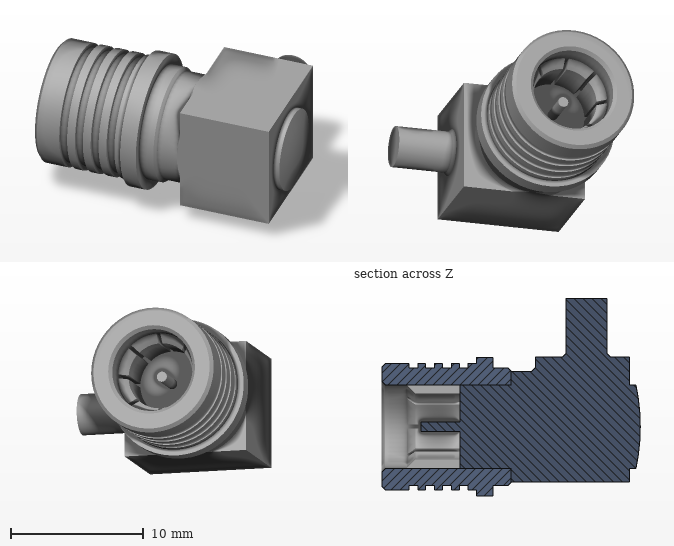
import cadquery as cq
import math


SLEEVE_LENGTH = 9.75
SLEEVE_RADIUS = 4.45
RIB_RADIUS = 4.8
FLANGE_RADIUS = 5.25
FRONT_BAND_LENGTH = 2.05
RIB_PITCH = 1.27
RIB_WIDTH = RIB_PITCH / 2
FLANGE_WIDTH = RIB_PITCH
GROOVE_COUNT = 4
BORE_RADIUS = 3.15
EDGE_CHAMFER = 0.25

FINGER_TIP_X = 1.9
FINGER_INNER_RADIUS = 2.5
SOCKET_FLOOR_X = 5.85
SLOT_WIDTH = 0.3
SLOT_COUNT = 8
PIN_RADIUS = 0.39
PIN_TIP_X = 2.93

NECK_RADIUS = 4.2
SHOULDER_CHAMFER = SLEEVE_RADIUS - NECK_RADIUS

BLOCK_FRONT_X = 11.55
BLOCK_BACK_X = 18.71
BLOCK_HALF_HEIGHT = NECK_RADIUS
BLOCK_FRONT_Y = -NECK_RADIUS
BLOCK_BACK_Y = 5.3
BLOCK_DEPTH = BLOCK_BACK_Y - BLOCK_FRONT_Y

CAP_RADIUS = 3.18
CAP_RIM_X = 19.18
CAP_TOP_X = 19.51

TUBE_X = 15.43
TUBE_RADIUS = 1.56
TUBE_END_Y = 9.72
COLLAR_SIZE = 0.23


def x_cylinder(start_x, end_x, radius):
    """Solid cylinder on the X axis between two X positions."""
    return cq.Workplane("YZ", origin=(start_x, 0, 0)).circle(radius).extrude(end_x - start_x)


def revolve_about_x(profile):
    """Revolve an XY profile a full turn about the X axis."""
    return profile.close().revolve(360, (0, 0, 0), (1, 0, 0))


def make_sleeve():
    flange_x = FRONT_BAND_LENGTH + GROOVE_COUNT * RIB_PITCH
    rib_section = x_cylinder(0, flange_x, RIB_RADIUS).faces("<X").chamfer(EDGE_CHAMFER)
    rear_section = x_cylinder(flange_x, SLEEVE_LENGTH, SLEEVE_RADIUS).faces(">X").chamfer(SHOULDER_CHAMFER)
    flange = x_cylinder(flange_x, flange_x + FLANGE_WIDTH, FLANGE_RADIUS)
    sleeve = rib_section.union(rear_section).union(flange)

    for index in range(GROOVE_COUNT):
        groove_x = FRONT_BAND_LENGTH + index * RIB_PITCH
        groove = x_cylinder(groove_x, groove_x + RIB_WIDTH, FLANGE_RADIUS).cut(
            x_cylinder(groove_x, groove_x + RIB_WIDTH, SLEEVE_RADIUS)
        )
        sleeve = sleeve.cut(groove)

    mouth_radius = BORE_RADIUS + EDGE_CHAMFER
    mouth_chamfer = revolve_about_x(
        cq.Workplane("XY").lineTo(0, mouth_radius).lineTo(EDGE_CHAMFER, BORE_RADIUS).lineTo(EDGE_CHAMFER, 0)
    )
    return sleeve.cut(x_cylinder(0, SLEEVE_LENGTH, BORE_RADIUS)).cut(mouth_chamfer)


def make_socket():
    """Cylinder filling the sleeve bore, hollowed into slotted fingers with 45-degree tips."""
    finger_thickness = BORE_RADIUS - FINGER_INNER_RADIUS
    socket = revolve_about_x(
        cq.Workplane("XY")
        .moveTo(SLEEVE_LENGTH, 0)
        .lineTo(SLEEVE_LENGTH, BORE_RADIUS)
        .lineTo(FINGER_TIP_X, BORE_RADIUS)
        .lineTo(FINGER_TIP_X + finger_thickness, FINGER_INNER_RADIUS)
        .lineTo(SOCKET_FLOOR_X, FINGER_INNER_RADIUS)
        .lineTo(SOCKET_FLOOR_X, 0)
    )
    for index in range(SLOT_COUNT // 2):
        slot_pair = (
            cq.Workplane("YZ", origin=(FINGER_TIP_X, 0, 0))
            .rect(2 * SLEEVE_RADIUS, SLOT_WIDTH)
            .extrude(SOCKET_FLOOR_X - FINGER_TIP_X)
            .rotate((0, 0, 0), (1, 0, 0), index * 360 / SLOT_COUNT)
        )
        socket = socket.cut(slot_pair)
    return socket.union(x_cylinder(PIN_TIP_X, SOCKET_FLOOR_X, PIN_RADIUS))


def block_outline_prism(start_x, end_x):
    """Prism with the block's YZ outline between two X positions."""
    return cq.Workplane("XY").box(
        end_x - start_x, BLOCK_DEPTH, 2 * BLOCK_HALF_HEIGHT, centered=(False, False, True)
    ).translate((start_x, BLOCK_FRONT_Y, 0))


def make_neck():
    """Neck with a conical shoulder that is trimmed flush with the block's sides."""
    shoulder_x = BLOCK_FRONT_X - SHOULDER_CHAMFER
    shoulder = revolve_about_x(
        cq.Workplane("XY")
        .moveTo(shoulder_x, 0)
        .lineTo(shoulder_x, NECK_RADIUS)
        .lineTo(BLOCK_FRONT_X, SLEEVE_RADIUS)
        .lineTo(BLOCK_FRONT_X, 0)
    ).intersect(block_outline_prism(shoulder_x, BLOCK_FRONT_X))
    return x_cylinder(SLEEVE_LENGTH, shoulder_x, NECK_RADIUS).union(shoulder)


def make_cap():
    """Short cylinder with a spherical dome."""
    dome_height = CAP_TOP_X - CAP_RIM_X
    sphere_radius = (CAP_RADIUS**2 + dome_height**2) / (2 * dome_height)
    half_angle = math.asin(CAP_RADIUS / sphere_radius) / 2
    arc_middle = (
        CAP_TOP_X - sphere_radius * (1 - math.cos(half_angle)),
        sphere_radius * math.sin(half_angle),
    )
    return revolve_about_x(
        cq.Workplane("XY")
        .moveTo(BLOCK_BACK_X, 0)
        .lineTo(BLOCK_BACK_X, CAP_RADIUS)
        .lineTo(CAP_RIM_X, CAP_RADIUS)
        .threePointArc(arc_middle, (CAP_TOP_X, 0))
    )


def make_cable_tube():
    """Tube with a conical collar where it meets the block."""
    return (
        cq.Workplane("XY")
        .moveTo(TUBE_X, BLOCK_BACK_Y)
        .lineTo(TUBE_X + TUBE_RADIUS + COLLAR_SIZE, BLOCK_BACK_Y)
        .lineTo(TUBE_X + TUBE_RADIUS, BLOCK_BACK_Y + COLLAR_SIZE)
        .lineTo(TUBE_X + TUBE_RADIUS, TUBE_END_Y)
        .lineTo(TUBE_X, TUBE_END_Y)
        .close()
        .revolve(360, (TUBE_X, 0, 0), (TUBE_X, 1, 0))
    )


def make_body():
    body = block_outline_prism(BLOCK_FRONT_X, BLOCK_BACK_X)
    for feature in (make_neck(), make_socket(), make_cap(), make_cable_tube()):
        body = body.union(feature)
    return body


sleeve = make_sleeve()
body = make_body()
result = cq.Compound.makeCompound([sleeve.solids().val(), body.solids().val()])